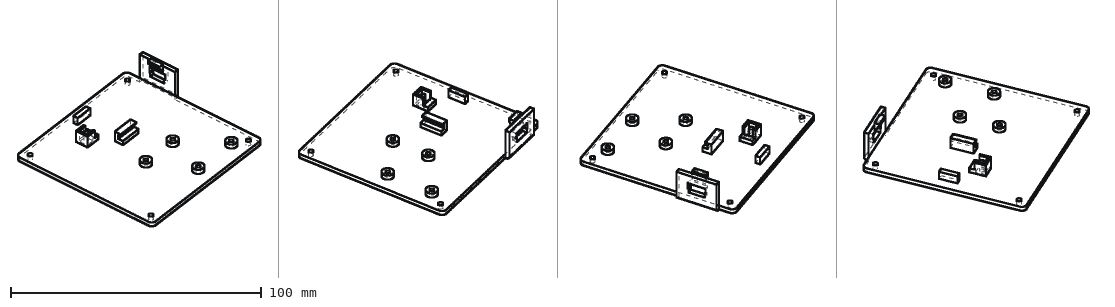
import cadquery as cq

plate_side = 70.0
plate_thickness = 2.0
plate_corner_radius = 2.0
half_side = plate_side / 2
corner_hole_diameter = 2.0
corner_hole_inset = 4.0

standoff_diameter = 5.0
standoff_hole_diameter = 1.9
standoff_height = 2.0
standoff_centers = [(8.65, 10.5), (8.65, -6.5), (27.5, 24.5), (27.5, 3.45)]

panel_width = 18
panel_height = 14.0
panel_thickness = plate_thickness
panel_center_x = -19.0
panel_bottom_chamfer = 1.0
window_upper_width = 8.0
window_lower_width = 7.2
window_bottom = 5.5
window_step = 7.35
window_top = 10.0
hook_width = 6.05
hook_reach = 2.2
hook_bottom = 10.8
hook_top = 15.0

block_size_x = 2.15
block_size_y = 8.0
block_height = 3.5
block_center = (-29.3, -0.15)

rail_length = 10.0
rail_left = -10.15
rail_center_y = 2.1
rail_width = 4.1
rail_height = 4.9
rail_lip_height = 2.0
rail_top_width = 3.0
rail_neck_width = 1.7
rail_edge_height = 4.5
rail_neck_height = 3.7

socket_center_x = panel_center_x
socket_width = 5.8
socket_front = -12.95
socket_length = 7.1
socket_cup_length = 4.75
socket_height = 5.55
socket_base_height = 2.0
socket_wall = 1.0
pin_diameter = 1.9
pin_height = 4.5


def box_between(x_range, y_range, z_range):
    """Box spanning the given ranges along X, Y and Z."""
    size = [high - low for low, high in (x_range, y_range, z_range)]
    corner = (x_range[0], y_range[0], z_range[0])
    return cq.Workplane("XY").box(*size, centered=False).translate(corner)


def span(center, width):
    """Range of the given width around a center."""
    return (center - width / 2, center + width / 2)


def make_plate():
    hole_pitch = plate_side - 2 * corner_hole_inset
    return (
        cq.Workplane("XY")
        .rect(plate_side, plate_side)
        .extrude(plate_thickness)
        .edges("|Z")
        .fillet(plate_corner_radius)
        .faces(">Z")
        .workplane()
        .rect(hole_pitch, hole_pitch, forConstruction=True)
        .vertices()
        .hole(corner_hole_diameter)
    )


def make_standoffs():
    return (
        cq.Workplane("XY", origin=(0, 0, plate_thickness))
        .pushPoints(standoff_centers)
        .circle(standoff_diameter / 2)
        .circle(standoff_hole_diameter / 2)
        .extrude(standoff_height)
    )


def make_panel():
    panel_back = half_side + panel_thickness
    y_range = (half_side, panel_back)
    panel = box_between(span(panel_center_x, panel_width), y_range, (0, panel_height))
    panel = panel.edges(">Y and <Z").chamfer(panel_bottom_chamfer)
    upper = box_between(span(panel_center_x, window_upper_width), y_range, (window_step, window_top))
    lower = box_between(span(panel_center_x, window_lower_width), y_range, (window_bottom, window_step))
    return panel.cut(upper).cut(lower)


def make_hook():
    hook_tip = half_side - hook_reach
    return (
        cq.Workplane("YZ", origin=(panel_center_x, 0, 0))
        .moveTo(half_side, hook_bottom)
        .lineTo(half_side, hook_top)
        .lineTo(hook_tip, hook_top)
        .lineTo(hook_tip, panel_height)
        .close()
        .extrude(hook_width / 2, both=True)
    )


def make_block():
    center_x, center_y = block_center
    z_range = (plate_thickness, plate_thickness + block_height)
    return box_between(span(center_x, block_size_x), span(center_y, block_size_y), z_range)


def make_rail():
    return (
        cq.Workplane("XZ", origin=(rail_left, rail_center_y, plate_thickness))
        .lineTo(rail_width, 0)
        .lineTo(rail_width, rail_lip_height)
        .lineTo(rail_neck_width, rail_lip_height)
        .lineTo(rail_neck_width, rail_neck_height)
        .lineTo(rail_top_width, rail_edge_height)
        .lineTo(rail_top_width, rail_height)
        .lineTo(0, rail_height)
        .close()
        .extrude(rail_length / 2, both=True)
    )


def make_socket():
    base_top = plate_thickness + socket_base_height
    cup_top = plate_thickness + socket_height
    cup_back = socket_front + socket_cup_length
    outer_x = span(socket_center_x, socket_width)
    inner_x = span(socket_center_x, socket_width - 2 * socket_wall)
    pocket_front = socket_front + socket_wall
    base = box_between(outer_x, (socket_front, socket_front + socket_length), (plate_thickness, base_top))
    cup = box_between(outer_x, (socket_front, cup_back), (plate_thickness, cup_top))
    pocket = box_between(inner_x, (pocket_front, cup_back), (plate_thickness, cup_top))
    pin_center_y = (pocket_front + cup_back) / 2
    pin = (
        cq.Workplane("XY", origin=(socket_center_x, pin_center_y, plate_thickness))
        .circle(pin_diameter / 2)
        .extrude(pin_height)
    )
    return base.union(cup).cut(pocket).union(pin)


result = make_plate()
for feature in (make_standoffs, make_panel, make_hook, make_block, make_rail, make_socket):
    result = result.union(feature())